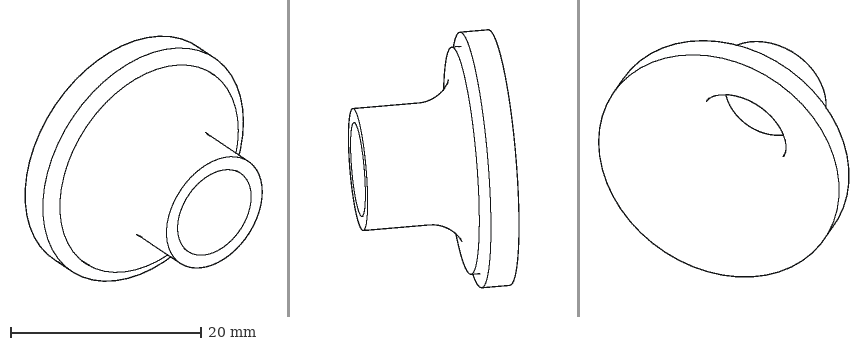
import cadquery as cq
import math

length = 15.0
flange_width = 3.0
step_width = 1.0

flange_radius = 27.0 / 2
step_radius = 24.0 / 2
tube_radius = 12.9 / 2
bore_radius = 9.9 / 2

corner_radius = 0.1
neck_radius = 4.0
throat_radius = 6.0
lip_radius = 3.0
cone_angle = math.radians(40.0)

step_end = flange_width + step_width
neck_end = step_end + neck_radius


def arc_point(center, radius, angle):
    """Point (x, r) on an arc; the angle turns from the -X direction towards the axis."""
    x, r = center
    return (x - radius * math.cos(angle), r - radius * math.sin(angle))


def revolve_about_x(profile):
    return profile.close().revolve(360, (0, 0, 0), (1, 0, 0))


def make_body():
    """Flange, step, curved neck and tube, without the passage."""
    corner_center = (flange_width + corner_radius, step_radius + corner_radius)
    corner_start = arc_point(corner_center, corner_radius, 0)
    corner_middle = arc_point(corner_center, corner_radius, math.pi / 4)
    corner_end = arc_point(corner_center, corner_radius, math.pi / 2)

    neck_center = (neck_end, tube_radius + neck_radius)
    neck_start = arc_point(neck_center, neck_radius, 0)
    neck_middle = arc_point(neck_center, neck_radius, math.pi / 4)
    profile = (
        cq.Workplane("XY")
        .lineTo(0, flange_radius)
        .lineTo(flange_width, flange_radius)
        .lineTo(*corner_start)
        .threePointArc(corner_middle, corner_end)
        .lineTo(step_end, step_radius)
        .lineTo(*neck_start)
        .threePointArc(neck_middle, (neck_end, tube_radius))
        .lineTo(length, tube_radius)
        .lineTo(length, 0)
    )
    return revolve_about_x(profile)


def make_passage():
    """Rounded lip, cone and rounded throat, running on into the through bore."""
    throat_center = (neck_end, bore_radius + throat_radius)
    throat_middle = arc_point(throat_center, throat_radius, (cone_angle + math.pi / 2) / 2)
    cone_end = arc_point(throat_center, throat_radius, cone_angle)

    cone_start_x = lip_radius * (1 - math.cos(cone_angle))
    cone_start_r = cone_end[1] + (cone_end[0] - cone_start_x) / math.tan(cone_angle)
    lip_center = (lip_radius, cone_start_r + lip_radius * math.sin(cone_angle))
    lip_middle = arc_point(lip_center, lip_radius, cone_angle / 2)

    profile = (
        cq.Workplane("XY")
        .lineTo(0, lip_center[1])
        .threePointArc(lip_middle, (cone_start_x, cone_start_r))
        .lineTo(*cone_end)
        .threePointArc(throat_middle, (neck_end, bore_radius))
        .lineTo(length, bore_radius)
        .lineTo(length, 0)
    )
    return revolve_about_x(profile)


result = make_body().cut(make_passage())